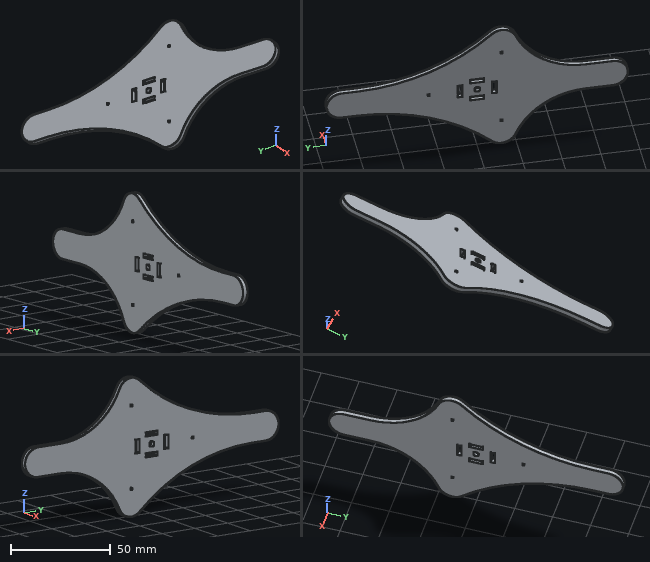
import cadquery as cq
import math

length = 155.0
height = 72.2
thickness = 3.0

arm_radius = 7.8
arm_end_y = length / 2 - arm_radius
long_flank_start_y = 61.4
short_flank_start_y = -55.6

tip_radius = 7.8
tip_y = -12.5
tip_z = height / 2 - tip_radius

center_hole_diameter = 2.8
screw_hole_diameter = 1.0
screw_hole_count = 3
screw_circle_radius = 25.0

slot_length = 7.1
end_slot_width = 2.3
end_slot_offset = 8.8
side_slot_width = 2.0
side_slot_offset = 5.5


def flank_points(start_y):
    """Middle and tip-side points of a concave flank tangent to the arm edge and the tip."""
    run = tip_y - start_y
    rise = tip_z - arm_radius
    radius = (run**2 + rise**2 - tip_radius**2) / (2 * (rise + tip_radius))
    center_z = arm_radius + radius
    sweep = math.atan2(run, center_z - tip_z)

    def point_at(angle):
        return (start_y + radius * math.sin(angle), center_z - radius * math.cos(angle))

    return point_at(sweep / 2), point_at(sweep)


def mirrored(point):
    return (point[0], -point[1])


def make_plate():
    long_mid, long_end = flank_points(long_flank_start_y)
    short_mid, short_end = flank_points(short_flank_start_y)
    tip_top = (tip_y, height / 2)
    long_start = (long_flank_start_y, arm_radius)
    short_start = (short_flank_start_y, arm_radius)
    return (
        cq.Workplane("YZ")
        .moveTo(arm_end_y, arm_radius)
        .lineTo(*long_start)
        .threePointArc(long_mid, long_end)
        .threePointArc(tip_top, short_end)
        .threePointArc(short_mid, short_start)
        .lineTo(-arm_end_y, arm_radius)
        .threePointArc((-length / 2, 0), (-arm_end_y, -arm_radius))
        .lineTo(*mirrored(short_start))
        .threePointArc(mirrored(short_mid), mirrored(short_end))
        .threePointArc(mirrored(tip_top), mirrored(long_end))
        .threePointArc(mirrored(long_mid), mirrored(long_start))
        .lineTo(arm_end_y, -arm_radius)
        .threePointArc((length / 2, 0), (arm_end_y, arm_radius))
        .close()
        .extrude(thickness / 2, both=True)
    )


def cut_holes(plate):
    center_hole = cq.Workplane("YZ").circle(center_hole_diameter / 2)
    screw_holes = (
        cq.Workplane("YZ")
        .polarArray(screw_circle_radius, 0, 360, screw_hole_count)
        .circle(screw_hole_diameter / 2)
    )
    for holes in (center_hole, screw_holes):
        plate = plate.cut(holes.extrude(thickness, both=True))
    return plate


def cut_slots(plate):
    end_slots = (
        cq.Workplane("YZ")
        .pushPoints([(end_slot_offset, 0), (-end_slot_offset, 0)])
        .rect(end_slot_width, slot_length)
    )
    side_slots = (
        cq.Workplane("YZ")
        .pushPoints([(0, side_slot_offset), (0, -side_slot_offset)])
        .rect(slot_length, side_slot_width)
    )
    for slots in (end_slots, side_slots):
        plate = plate.cut(slots.extrude(thickness, both=True))
    return plate


result = cut_slots(cut_holes(make_plate()))